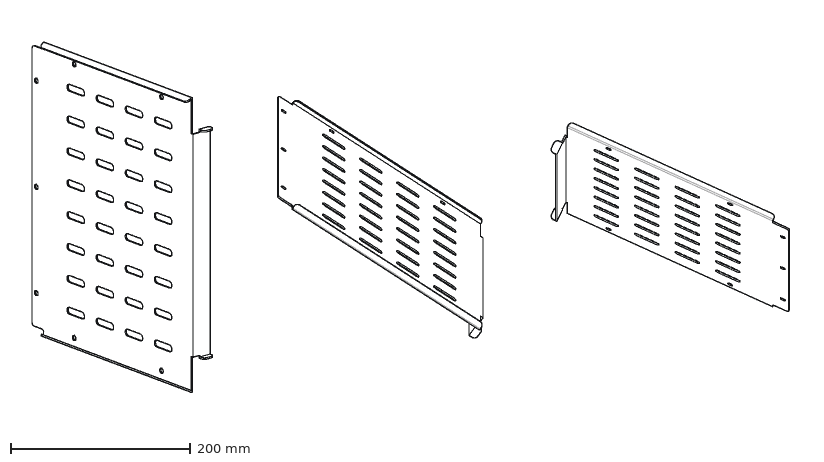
import cadquery as cq
import math


thickness = 1.9
bend_radius = 1.2
ear_corner_radius = 3.5
ear_inner_radius = 2.5
tip_radius = 5.0

height = 347.2
overall_length = 283.5
panel_left = 19.8
panel_right = 273.2
ear_height = 330.0

lip_depth = 8.5
lip_angle = math.radians(30)

flange_outer_x = 276.7
flange_height = 262.5
flange_depth = 23.3
tab_span = 269.5
tab_depth = 15.3

slot_length = 30.0
slot_height = 8.0
slot_columns = 4
slot_rows = 8
slot_pitch_x = 50.0
slot_pitch_z = 37.5
first_slot_x = 75.0

hole_diameter = 6.0
edge_hole_x = (72.2, 222.2)
edge_hole_z = 161.0
ear_hole_x = 7.3
ear_hole_pitch = 125.0

half_height = height / 2
flange_inner_x = flange_outer_x - thickness


def make_block(x_min, x_max, y_min, y_max, z_span):
    """Block between the given X and Y limits, centred on mid height."""
    block = cq.Workplane("XY").box(
        x_max - x_min, y_max - y_min, z_span, centered=(False, False, True)
    )
    return block.translate((x_min, y_min, 0))


def make_lipped_panel():
    """Panel with both lips, extruded along X from one bent cross-section."""
    bend_tangent = bend_radius * math.tan((math.pi / 2 + lip_angle) / 2)
    sharp_z = half_height - bend_radius + bend_tangent
    tip_z = sharp_z - lip_depth * math.tan(lip_angle)
    under_tip_y = -lip_depth + thickness * math.sin(lip_angle)
    under_tip_z = tip_z - thickness * math.cos(lip_angle)
    inner_z = sharp_z - thickness / math.tan((math.pi / 2 - lip_angle) / 2)

    upper = [(0, sharp_z), (-lip_depth, tip_z), (under_tip_y, under_tip_z), (-thickness, inner_z)]
    lower = [(y, -z) for y, z in reversed(upper)]
    panel = (
        cq.Workplane("YZ", origin=(panel_left, 0, 0))
        .polyline(upper + lower)
        .close()
        .extrude(panel_right - panel_left)
    )
    panel = panel.edges("|X and (>Z or <Z)").fillet(bend_radius)
    for side in (1, -1):
        lip_normal = cq.Vector(0, -math.sin(lip_angle), side * math.cos(lip_angle))
        panel = panel.edges(cq.selectors.ParallelDirSelector(lip_normal)).fillet(tip_radius)
    return panel


def add_ear(panel):
    """Flat ear on the left, with rounded outer and inner corners."""
    ear = make_block(0, panel_left, -thickness, 0, ear_height)
    ear = ear.edges("|Y and <X").fillet(ear_corner_radius)
    panel = panel.union(ear)

    center_x = panel_left - ear_inner_radius
    for side in (1, -1):
        corner_z = side * ear_height / 2
        arc_end_z = corner_z + side * ear_inner_radius
        diagonal = ear_inner_radius * math.sqrt(0.5)
        rounding = (
            cq.Workplane("XZ")
            .moveTo(center_x, corner_z)
            .threePointArc(
                (center_x + diagonal, arc_end_z - side * diagonal),
                (panel_left, arc_end_z),
            )
            .lineTo(panel_left, corner_z)
            .close()
            .extrude(thickness)
        )
        panel = panel.union(rounding)
    return panel


def make_flange():
    """Flange bent backward from the panel, with a tab bent outward at each end."""
    strip = make_block(panel_right, flange_outer_x, -thickness, 0, flange_height)
    web = make_block(flange_inner_x, flange_outer_x, -thickness, flange_depth, flange_height)
    flange = strip.union(web)

    tab_front_y = flange_depth - tab_depth
    channel = make_block(flange_inner_x, overall_length, tab_front_y, flange_depth, tab_span)
    channel = channel.edges("|Z and >X").fillet(tip_radius)
    gap = make_block(
        flange_outer_x, overall_length, tab_front_y, flange_depth, tab_span - 2 * thickness
    )
    return flange.union(channel.cut(gap))


def make_slots():
    """Cutters for the grid of vent slots."""
    grid_center_x = first_slot_x + slot_pitch_x * (slot_columns - 1) / 2
    return (
        cq.Workplane("XZ", origin=(grid_center_x, 0, 0))
        .rarray(slot_pitch_x, slot_pitch_z, slot_columns, slot_rows)
        .slot2D(slot_length, slot_height)
        .extrude(thickness)
    )


def make_holes():
    """Cutters for the fixing holes beside the lips and along the ear."""
    edge_holes = [(x, z) for x in edge_hole_x for z in (edge_hole_z, -edge_hole_z)]
    ear_holes = [(ear_hole_x, row * ear_hole_pitch) for row in (-1, 0, 1)]
    return (
        cq.Workplane("XZ")
        .pushPoints(edge_holes + ear_holes)
        .circle(hole_diameter / 2)
        .extrude(thickness)
    )


sheet = add_ear(make_lipped_panel()).union(make_flange())
result = sheet.cut(make_slots()).cut(make_holes())